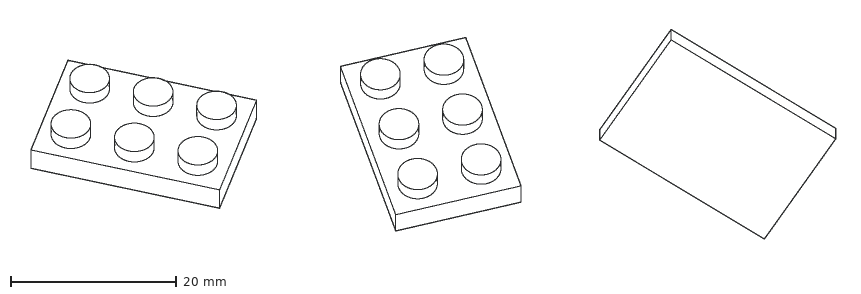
import cadquery as cq

stud_pitch = 8.0
studs_along_x = 3
studs_along_y = 2
stud_diameter = 4.8
stud_height = 1.8

side_clearance = 0.1
plate_length = studs_along_x * stud_pitch - 2 * side_clearance
plate_width = studs_along_y * stud_pitch - 2 * side_clearance
plate_height = 3.2


def make_plate():
    """Rectangular plate centred on the Z axis, standing on Z = 0."""
    return cq.Workplane("XY").box(
        plate_length, plate_width, plate_height, centered=(True, True, False)
    )


def add_studs(plate):
    """Round studs on the top face, in a grid centred on the plate."""
    return (
        plate.faces(">Z")
        .workplane(origin=(0, 0, plate_height))
        .rarray(stud_pitch, stud_pitch, studs_along_x, studs_along_y)
        .circle(stud_diameter / 2)
        .extrude(stud_height)
    )


result = add_studs(make_plate())